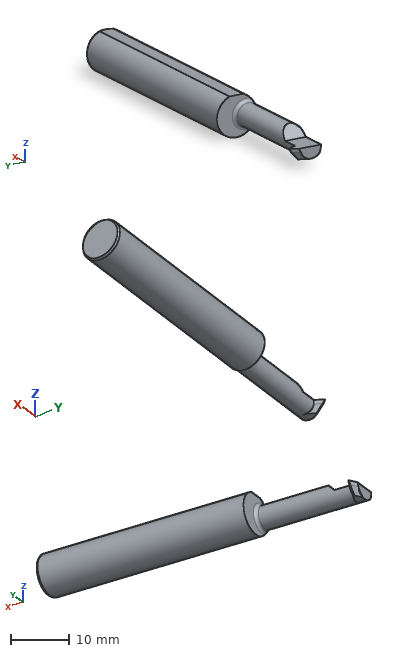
import cadquery as cq

total_length = 63.5
shank_radius = 3.97
shank_start = 21.1
flat_height = 3.715
chamfer_length = 0.4
chamfer_depth = 0.25

neck_radius = 2.2
neck_axis_y = -2.0
neck_fillet = 0.65

rake_length = 4.9

tip_x = 0.9
tip_width = 0.2
tip_y = 1.9
tooth_front_y = 0.5
tooth_back_x = 1.85
tooth_back_y = neck_axis_y + neck_radius
relief_depth = 0.7
relief_offset = 0.3
heel_offset = 1.7


def make_shank():
    """Round shank with a chamfered rear end and a flat on top."""
    profile = (
        cq.Workplane("XY")
        .moveTo(shank_start, 0)
        .lineTo(shank_start, shank_radius)
        .lineTo(total_length - chamfer_length, shank_radius)
        .lineTo(total_length, shank_radius - chamfer_depth)
        .lineTo(total_length, 0)
        .close()
    )
    shank = profile.revolve(360, (0, 0, 0), (1, 0, 0))
    above_flat = cq.Workplane("XY").box(
        total_length, 2 * shank_radius, shank_radius, centered=(False, True, False)
    )
    return shank.cut(above_flat.translate((0, 0, flat_height)))


def make_neck():
    """Offset neck flaring into the shoulder and trimmed to the shank diameter."""
    profile = (
        cq.Workplane("XY", origin=(0, neck_axis_y, 0))
        .lineTo(0, neck_radius)
        .lineTo(shank_start - neck_fillet, neck_radius)
        .radiusArc((shank_start, neck_radius + neck_fillet), -neck_fillet)
        .lineTo(shank_start, 0)
        .close()
    )
    neck = profile.revolve(360, (0, 0, 0), (1, 0, 0))
    envelope = cq.Workplane("YZ").circle(shank_radius).extrude(shank_start)
    return neck.intersect(envelope)


def cut_rake_face(neck):
    """Remove the upper half of the cutting end, with a 45 degree run-out."""
    removed = (
        cq.Workplane("XZ")
        .lineTo(rake_length, 0)
        .lineTo(rake_length + shank_radius, shank_radius)
        .lineTo(0, shank_radius)
        .close()
        .extrude(shank_radius, both=True)
    )
    return neck.cut(removed)


def tooth_outline(z, setback):
    """Closed tooth section at height z, with its cutting edge moved back in Y."""
    points = [
        (0, neck_axis_y),
        (0, tooth_front_y - setback),
        (tip_x - tip_width / 2, tip_y - setback),
        (tip_x + tip_width / 2, tip_y - setback),
        (tooth_back_x, tooth_back_y - setback),
        (tooth_back_x, neck_axis_y),
    ]
    return cq.Wire.makePolygon([cq.Vector(x, y, z) for x, y in points], close=True)


def make_tooth():
    """Pointed tooth with two successive relief angles below the cutting edge."""
    edge = tooth_outline(0, 0)
    relief = tooth_outline(-relief_depth, relief_offset)
    heel = tooth_outline(-neck_radius, heel_offset)
    upper = cq.Solid.makeLoft([edge, relief], True)
    lower = cq.Solid.makeLoft([relief, heel], True)
    return cq.Workplane(upper).union(cq.Workplane(lower))


result = make_shank().union(cut_rake_face(make_neck())).union(make_tooth())